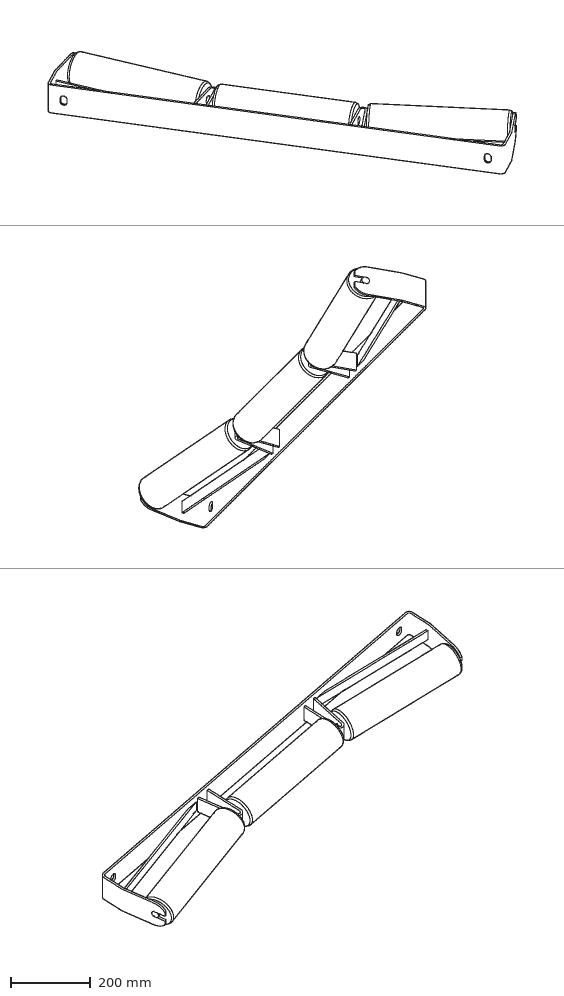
import cadquery as cq
import math


strip_thickness = 6.0
strip_width = 81.0
bend_outer_radius = 12.0
bend_inner_radius = bend_outer_radius - strip_thickness
trough_angle = 10.0
lean = math.radians(trough_angle)

frame_half_length = 595.0
flange_bend_height = 73.0
flange_tip_above_axis = 29.0
flange_round_below_axis = 5.0
mount_slot_x = 552.0
mount_slot_width = 18.0
mount_slot_length = 26.0

roller_diameter = 89.0
roller_half_length = 181.0
end_bevel_length = 6.0
end_bevel_depth = 3.0
shaft_diameter = 20.0
shaft_flat_width = 18.0
middle_axis_height = 99.0
side_roller_x = 390.0
trough_top = 208.0

bracket_gap = 3.0
bracket_top = 125.0
brace_top_height = 69.0
brace_width = 33.0
bracket_width = 50.0

bracket_bend_x = roller_half_length + bracket_gap + bend_outer_radius
bracket_bend_y = bracket_top - bend_outer_radius
bevel_start = roller_half_length - end_bevel_length
side_roller_y = trough_top - bevel_start * math.sin(lean) - roller_diameter / 2 * math.cos(lean)


def tilted(along, up):
    """Point given along the tilted right-hand roller axis and square to it, from the roller's middle."""
    x = side_roller_x + along * math.cos(lean) - up * math.sin(lean)
    y = side_roller_y + along * math.sin(lean) + up * math.cos(lean)
    return x, y


def along_roller_axis(x, y):
    """Distance of a point from the middle of the tilted roller, measured along the roller axis."""
    return (x - side_roller_x) * math.cos(lean) + (y - side_roller_y) * math.sin(lean)


flange_outer_along = along_roller_axis(frame_half_length, flange_bend_height)
flange_inner_along = flange_outer_along - strip_thickness
bracket_side_along = along_roller_axis(bracket_bend_x, bracket_bend_y) + bend_outer_radius

flange_cutter_length = 2 * strip_thickness
flange_cutter_start = flange_inner_along - strip_thickness / 2


def mirrored(body):
    """Left-hand copy of a right-hand body."""
    return body.mirror("YZ")


def strip(outline, width):
    """Closed XY outline extruded to a width along Z, centred on Z = 0."""
    return outline.extrude(width / 2, both=True)


def on_roller_axis(body):
    """Moves a body built along X at the origin onto the tilted right-hand roller axis."""
    return body.rotate((0, 0, 0), (0, 0, 1), trough_angle).translate((side_roller_x, side_roller_y, 0))


def shaft(start, end):
    """Round shaft along X with two flats facing +Z and -Z."""
    length = end - start
    round_bar = cq.Workplane("YZ", origin=(start, 0, 0)).circle(shaft_diameter / 2).extrude(length)
    flats = cq.Workplane("XY").box(length, shaft_diameter, shaft_flat_width)
    return round_bar.intersect(flats.translate(((start + end) / 2, 0, 0)))


def roller(shaft_start, shaft_end):
    """Roller along X, centred at the origin, with slightly bevelled ends and its shaft."""
    radius = roller_diameter / 2
    end_radius = radius - end_bevel_depth
    drum = (
        cq.Workplane("XY")
        .moveTo(-roller_half_length, 0)
        .lineTo(-roller_half_length, end_radius)
        .lineTo(-bevel_start, radius)
        .lineTo(bevel_start, radius)
        .lineTo(roller_half_length, end_radius)
        .lineTo(roller_half_length, 0)
        .close()
        .revolve(360, (0, 0, 0), (1, 0, 0))
    )
    return drum.union(shaft(shaft_start, shaft_end))


def flange_cutter_block(width):
    """Block through the flange, from the roller axis past the flange tip, not yet tilted."""
    return cq.Workplane("XY").box(flange_cutter_length, strip_width, width).translate(
        (flange_cutter_start + flange_cutter_length / 2, strip_width / 2, 0)
    )


def flange_tip_waste():
    """Corners to cut from the right-hand flange so that its tip follows a round of the strip width."""
    beyond_round = flange_cutter_block(2 * strip_width)
    disc = cq.Workplane("YZ", origin=(flange_cutter_start, 0, 0)).circle(strip_width / 2)
    waste = beyond_round.cut(disc.extrude(flange_cutter_length))
    return on_roller_axis(waste.translate((0, -flange_round_below_axis, 0)))


def flange_slot():
    """Shaft seat in the right-hand flange, open toward the tip."""
    opening = flange_cutter_block(shaft_flat_width)
    seat = shaft(flange_cutter_start, flange_cutter_start + flange_cutter_length)
    return on_roller_axis(opening.union(seat))


def make_frame():
    """Base strip with both ends bent up into flanges whose upper parts lean inward."""
    inner_half_length = frame_half_length - strip_thickness
    inner_bend_height = flange_bend_height - strip_thickness * math.tan(lean / 2)
    right_side = [
        (frame_half_length, 0),
        (frame_half_length, flange_bend_height),
        tilted(flange_outer_along, flange_tip_above_axis),
        tilted(flange_inner_along, flange_tip_above_axis),
        (inner_half_length, inner_bend_height),
        (inner_half_length, strip_thickness),
    ]
    left_side = [(-x, y) for x, y in reversed(right_side)]
    frame = strip(cq.Workplane("XY").polyline(right_side + left_side).close(), strip_width)

    for side in (-1, 1):
        for x, y, radius in (
            (frame_half_length, 0, bend_outer_radius),
            (inner_half_length, strip_thickness, bend_inner_radius),
            (frame_half_length, flange_bend_height, bend_outer_radius),
            (inner_half_length, inner_bend_height, bend_inner_radius),
        ):
            corner = cq.selectors.NearestToPointSelector((side * x, y, 0))
            frame = frame.edges("|Z").edges(corner).fillet(radius)

    mount_slots = (
        cq.Workplane("XZ")
        .pushPoints([(-mount_slot_x, 0), (mount_slot_x, 0)])
        .slot2D(mount_slot_length, mount_slot_width, 90)
        .extrude(-strip_thickness)
    )
    frame = frame.cut(mount_slots)
    for cutter in (flange_tip_waste(), flange_slot()):
        frame = frame.cut(cutter).cut(mirrored(cutter))
    return frame


def bracket_outline(radius):
    """Inverted U: a vertical leg and a leaning leg joined by a bend of the given radius."""
    vertical_x = bracket_bend_x - radius
    tangent_x = bracket_bend_x + radius * math.cos(lean)
    tangent_y = bracket_bend_y + radius * math.sin(lean)
    foot_x = tangent_x + (tangent_y - strip_thickness) * math.tan(lean)
    return (
        cq.Workplane("XY")
        .moveTo(vertical_x, strip_thickness)
        .lineTo(vertical_x, bracket_bend_y)
        .threePointArc((bracket_bend_x, bracket_bend_y + radius), (tangent_x, tangent_y))
        .lineTo(foot_x, strip_thickness)
        .close()
    )


def make_bracket():
    """Right-hand bracket, with a seat in each leg for the shaft that ends there."""
    outside = strip(bracket_outline(bend_outer_radius), bracket_width)
    inside = strip(bracket_outline(bend_inner_radius), bracket_width)
    bracket = outside.cut(inside)
    return bracket.cut(make_middle_roller()).cut(make_side_roller())


def make_brace():
    """Strip parallel to the right-hand roller, cut off flush at the flange and at the base."""
    inner_x = frame_half_length - strip_thickness
    drop = strip_thickness / math.cos(lean)
    top_run = (brace_top_height - strip_thickness) / math.tan(lean)
    bottom_run = (brace_top_height - drop - strip_thickness) / math.tan(lean)
    outline = [
        (inner_x, brace_top_height),
        (inner_x - top_run, strip_thickness),
        (inner_x - bottom_run, strip_thickness),
        (inner_x, brace_top_height - drop),
    ]
    return strip(cq.Workplane("XY").polyline(outline).close(), brace_width)


def make_middle_roller():
    """Its shaft ends flush with the inside of each bracket's vertical leg."""
    shaft_end = roller_half_length + bracket_gap + strip_thickness
    return roller(-shaft_end, shaft_end).translate((0, middle_axis_height, 0))


def make_side_roller():
    """Its shaft runs from the inside of the bracket's leaning leg to the outside of the flange."""
    return on_roller_axis(roller(bracket_side_along - strip_thickness, flange_outer_along))


frame = make_frame()
middle_roller = make_middle_roller()

side_bodies = []
for make_body in (make_side_roller, make_bracket, make_brace):
    right_body = make_body()
    side_bodies += [right_body.val(), mirrored(right_body).val()]

result = cq.Compound.makeCompound([frame.val(), middle_roller.val(), *side_bodies])